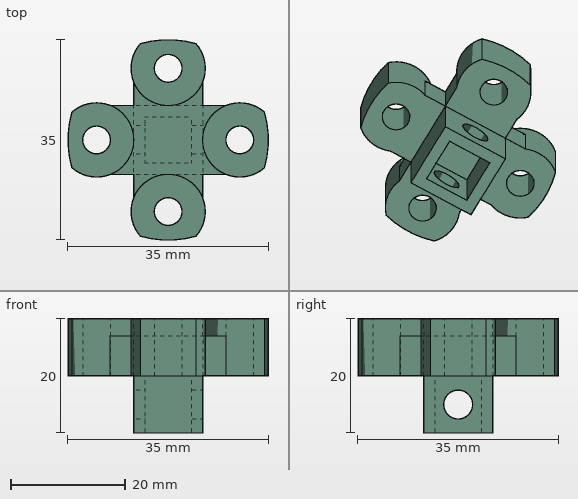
import cadquery as cq

outer_diameter = 35.0
total_height = 20.0
boss_diameter = 13.0
boss_offset = 12.5
boss_hole_diameter = 4.8
boss_rise = 3.0
bar_width = 12.08
post_hole_diameter = 5.0
post_socket_width = 8.1

head_height = total_height / 2
post_height = total_height - head_height
cross_height = head_height - boss_rise

boss_centers = [
    (boss_offset, 0),
    (0, boss_offset),
    (-boss_offset, 0),
    (0, -boss_offset),
]


def make_cross():
    """Two crossing bars whose ends lie inside the bosses."""
    length = 2 * boss_offset
    centered = (True, True, False)
    bar_x = cq.Workplane("XY").box(length, bar_width, cross_height, centered=centered)
    bar_y = cq.Workplane("XY").box(bar_width, length, cross_height, centered=centered)
    return bar_x.union(bar_y)


def make_bosses():
    """Four round bosses trimmed outside by the outer cylinder."""
    bosses = cq.Workplane("XY").pushPoints(boss_centers).circle(boss_diameter / 2).extrude(head_height)
    envelope = cq.Workplane("XY").circle(outer_diameter / 2).extrude(head_height)
    return bosses.intersect(envelope)


def make_boss_holes():
    """Vertical through holes on the boss axes."""
    return cq.Workplane("XY").pushPoints(boss_centers).circle(boss_hole_diameter / 2).extrude(head_height)


def make_post():
    """Square post with a square socket, open at the bottom, with a cross hole along X at mid height."""
    post = cq.Workplane("XY").rect(bar_width, bar_width).extrude(-post_height)
    hole = (
        cq.Workplane("YZ")
        .center(0, -post_height / 2)
        .circle(post_hole_diameter / 2)
        .extrude(bar_width / 2, both=True)
    )
    socket = cq.Workplane("XY").rect(post_socket_width, post_socket_width).extrude(-post_height)
    return post.cut(hole).cut(socket)


head = make_cross().union(make_bosses()).cut(make_boss_holes())
result = head.union(make_post())